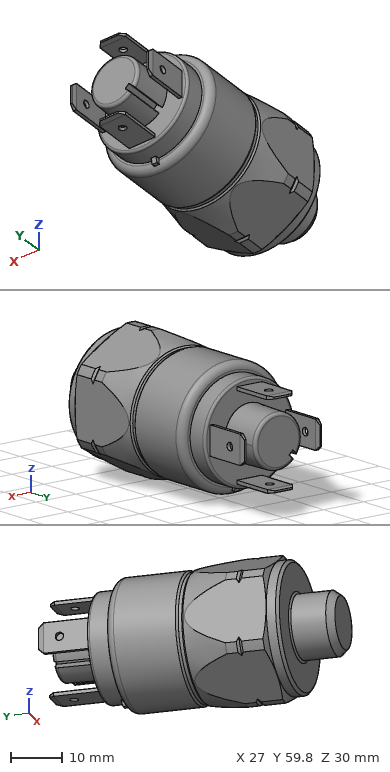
import cadquery as cq
import math


body_radius = 13.45

plug_radius = 6.6
plug_chamfer_radial = 1.2
plug_chamfer_length = 1.5
plug_root_radius = 7.1
plug_root_start = 8.7
flange_front = 8.95
flange_edge_chamfer = 0.6

hex_flat_distance = 13.5
hex_corner_radius = 15.0
hex_front = 11.5
hex_corner_start = 12.15
hex_corner_end = 19.9
hex_back = 28.65
mark_y = 17.1
mark_width = 1.1
mark_depth = 0.35

groove_radius = 13.1
groove_floor_start = 29.0
groove_floor_end = 29.7
body_front = 30.2

body_back = 44.6
body_fillet = 1.7
collar_radius = 11.25
collar_back = 49.15
collar_fillet = 0.55

boss_base_radius = 6.1
boss_top_radius = 5.85
boss_back = 58.2
boss_fillet = 0.7

keyway_lower_offset = 0.25
keyway_upper_offset = 1.0
keyway_floor_distance = 4.2

terminal_width = 6.35
terminal_thickness = 0.8
terminal_offset = 9.45
terminal_end = 59.6
long_terminal_end = 59.8
terminal_tip_length = 1.15
terminal_tip_width = 4.35
terminal_tip_thickness = 0.4
terminal_hole_diameter = 1.7
terminal_hole_setback = 4.35

rib_width = 1.2
rib_radius = 12.55
rib_back = 45.55
rib_tip_back = 45.2


def revolve_profile(profile):
    """Turn a closed (radius, Y) profile about the Y axis."""
    return profile.close().revolve(360, (0, 0, 0), (0, 1, 0))


def turned_front():
    return revolve_profile(
        cq.Workplane("XY")
        .moveTo(0, 0)
        .lineTo(plug_radius - plug_chamfer_radial, 0)
        .lineTo(plug_radius, plug_chamfer_length)
        .lineTo(plug_radius, plug_root_start)
        .lineTo(plug_root_radius, flange_front)
        .lineTo(body_radius - flange_edge_chamfer, flange_front)
        .lineTo(body_radius, flange_front + flange_edge_chamfer)
        .lineTo(body_radius, hex_front)
        .lineTo(0, hex_front)
    )


def hexagon():
    """Turned blank with marked corners, cut to six flats that face +X, -X and the 60 degree steps between."""
    mark_half = mark_width / 2
    blank = revolve_profile(
        cq.Workplane("XY")
        .moveTo(0, hex_front)
        .lineTo(body_radius, hex_front)
        .lineTo(hex_corner_radius, hex_corner_start)
        .lineTo(hex_corner_radius, mark_y - mark_half)
        .lineTo(hex_corner_radius - mark_depth, mark_y)
        .lineTo(hex_corner_radius, mark_y + mark_half)
        .lineTo(hex_corner_radius, hex_corner_end)
        .lineTo(body_radius, hex_back)
        .lineTo(0, hex_back)
    )
    prism = (
        cq.Workplane("XZ", origin=(0, hex_front, 0))
        .polygon(6, 2 * hex_flat_distance, circumscribed=True)
        .extrude(hex_front - hex_back)
    )
    return blank.intersect(prism)


def turned_back():
    arc_mid = body_fillet * math.sqrt(0.5)
    return revolve_profile(
        cq.Workplane("XY")
        .moveTo(0, hex_back)
        .lineTo(body_radius, hex_back)
        .lineTo(groove_radius, groove_floor_start)
        .lineTo(groove_radius, groove_floor_end)
        .lineTo(body_radius, body_front)
        .lineTo(body_radius, body_back - body_fillet)
        .threePointArc(
            (body_radius - body_fillet + arc_mid, body_back - body_fillet + arc_mid),
            (body_radius - body_fillet, body_back),
        )
        .lineTo(collar_radius, body_back)
        .lineTo(collar_radius, collar_back)
        .lineTo(0, collar_back)
    ).faces(">Y").edges().fillet(collar_fillet)


def boss():
    cone = revolve_profile(
        cq.Workplane("XY")
        .moveTo(0, collar_back)
        .lineTo(boss_base_radius, collar_back)
        .lineTo(boss_top_radius, boss_back)
        .lineTo(0, boss_back)
    ).faces(">Y").edges().fillet(boss_fillet)
    keyway_length = boss_base_radius
    keyway = (
        cq.Workplane("XY")
        .box(
            keyway_length,
            boss_back - collar_back,
            keyway_lower_offset + keyway_upper_offset,
            centered=(False, False, False),
        )
        .translate((-keyway_floor_distance - keyway_length, collar_back, -keyway_lower_offset))
        .rotate((0, 0, 0), (0, 1, 0), -45)
    )
    return cone.cut(keyway)


def terminal(end, angle):
    """Blade on the +Z side, bevelled to a thin narrow tip, then turned about Y by the angle."""
    shoulder = end - terminal_tip_length
    outline = (
        cq.Workplane("XY")
        .moveTo(-terminal_width / 2, collar_back)
        .lineTo(-terminal_width / 2, shoulder)
        .lineTo(-terminal_tip_width / 2, end)
        .lineTo(terminal_tip_width / 2, end)
        .lineTo(terminal_width / 2, shoulder)
        .lineTo(terminal_width / 2, collar_back)
        .close()
        .extrude(terminal_thickness / 2, both=True)
    )
    side = (
        cq.Workplane("YZ")
        .moveTo(collar_back, -terminal_thickness / 2)
        .lineTo(shoulder, -terminal_thickness / 2)
        .lineTo(end, -terminal_tip_thickness / 2)
        .lineTo(end, terminal_tip_thickness / 2)
        .lineTo(shoulder, terminal_thickness / 2)
        .lineTo(collar_back, terminal_thickness / 2)
        .close()
        .extrude(terminal_width, both=True)
    )
    hole = (
        cq.Workplane("XY")
        .center(0, end - terminal_hole_setback)
        .circle(terminal_hole_diameter / 2)
        .extrude(terminal_thickness, both=True)
    )
    blade = outline.intersect(side).cut(hole)
    return blade.translate((0, 0, terminal_offset)).rotate((0, 0, 0), (0, 1, 0), angle)


def collar_rib():
    """Rib on the -Z side that joins the collar to the end face of the body."""
    root_radius = collar_radius - collar_fillet
    root_front = body_back - body_fillet
    return (
        cq.Workplane("YZ")
        .moveTo(root_front, -root_radius)
        .lineTo(rib_back, -root_radius)
        .lineTo(rib_back, -collar_radius)
        .lineTo(rib_tip_back, -rib_radius)
        .lineTo(root_front, -rib_radius)
        .close()
        .extrude(rib_width / 2, both=True)
    )


result = turned_front().union(hexagon()).union(turned_back()).union(boss()).union(collar_rib())
for angle in (-90, 0, 90):
    result = result.union(terminal(terminal_end, angle))
result = result.union(terminal(long_terminal_end, 180))